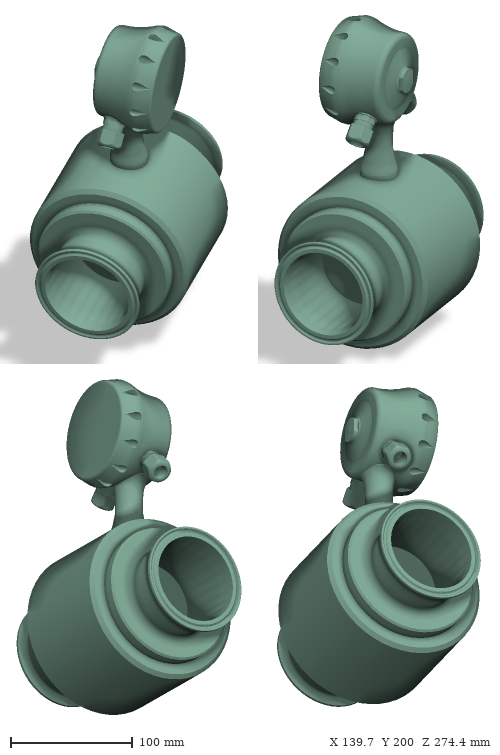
import cadquery as cq
import math

body_diameter = 139.7
body_length = 100.0
body_chamfer = 3.3
shoulder_diameter = 115.0
shoulder_length = 123.8
shoulder_chamfer = 1.6

total_length = 200.0
tube_diameter = 76.5
tube_fillet = 4.5
flange_diameter = 91.0
flange_rim = 2.7
flange_edge_fillet = 0.5
flange_back_angle = 20.0
flange_back_fillet = 2.2
groove_outer_diameter = 88.0
groove_inner_diameter = 80.1
groove_lip = 0.69
groove_depth = 1.6

bore_mouth_diameter = 73.5
bore_end_diameter = 70.8
bore_depth = 66.0

neck_foot_radius = 15.6
neck_foot_top = 73.5
neck_collar_radius = 15.0
neck_collar_top = 76.0
neck_cone_radius = 13.7
neck_cone_top = 81.0
neck_waist_radius = 11.5
neck_waist_bottom = 96.5
neck_waist_top = 100.7
neck_flare_radius = 11.8
neck_flare_bottom = 109.0
neck_top_radius = 17.0
neck_top = 122.5

total_height = 274.5
housing_back = -18.7
housing_radius = 38.7
housing_fillet = 4.7
cone_base_radius = 26.0
cone_top = -21.0
cone_top_radius = 15.6
boss_radius = 11.8
boss_top = -22.2

lid_start = 15.6
lid_start_radius = 45.0
lid_rim_start = 19.2
lid_rim_end = 21.5
lid_radius = 45.8
lid_front = 34.9
lid_front_radius = 42.8
lid_fillet = 2.7

scallop_count = 12
scallop_start = 17.3
scallop_wide = 20.3
scallop_radius = 3.5
scallop_waist = 26.4
scallop_waist_radius = 2.2
scallop_tip_radius = 0.5
scallop_lift = 0.4
scallop_tilt = 8.5

plug_radius = 10.5
plug_base = -23.3
plug_end = -27.0
plug_tip = -27.7
plug_flats = 17.5

gland_x = -2.0
gland_angle = 45.0
gland_boss_radius = 10.0
gland_boss_end = 39.5
gland_hexagon_flats = 17.3
gland_hexagon_diameter = 18.0
gland_hexagon_end = 44.5
gland_stem_diameter = 16.7
gland_nut_start = 49.0
gland_nut_end = 63.0
gland_nut_flats = 19.5
gland_nut_diameter = 21.7
gland_nut_fillet = 4.5
gland_hole_diameter = 12.0
gland_hole_depth = 13.7

half_length = total_length / 2
housing_height = total_height - body_diameter / 2 - lid_radius
diagonal = math.sqrt(0.5)


def make_drum(diameter, length, chamfer):
    """Chamfered cylinder about the Y axis, centred on the origin."""
    drum = cq.Workplane("XZ").circle(diameter / 2).extrude(length).translate((0, length / 2, 0))
    return drum.faces("<Y or >Y").chamfer(chamfer)


def make_pipe_end():
    """Pipe from the middle of the body to the +Y clamp flange, without its bore."""
    tube_radius = tube_diameter / 2
    flange_radius = flange_diameter / 2
    fillet_start = shoulder_length / 2
    fillet_end = fillet_start + tube_fillet
    slope = math.radians(flange_back_angle)
    back_arc_radius = tube_radius + flange_back_fillet * (1 - math.sin(slope))
    rim_back = half_length - flange_rim
    back_arc_end = rim_back - (flange_radius - back_arc_radius) * math.tan(slope)
    back_arc_start = back_arc_end - flange_back_fillet * math.cos(slope)
    pipe = (
        cq.Workplane("XY")
        .lineTo(tube_radius + tube_fillet, 0)
        .lineTo(tube_radius + tube_fillet, fillet_start)
        .threePointArc(
            (tube_radius + tube_fillet * (1 - diagonal), fillet_end - tube_fillet * diagonal),
            (tube_radius, fillet_end),
        )
        .lineTo(tube_radius, back_arc_start)
        .tangentArcPoint((back_arc_radius, back_arc_end), relative=False)
        .lineTo(flange_radius, rim_back)
        .lineTo(flange_radius, half_length)
        .lineTo(0, half_length)
        .close()
        .revolve(360, (0, 0), (0, 1))
    )
    rim_edges = cq.selectors.RadiusNthSelector(-1)
    return pipe.edges(rim_edges).fillet(flange_edge_fillet).cut(make_gasket_groove())


def make_gasket_groove():
    """Ring cutter for the rounded gasket groove in the +Y flange face."""
    outer = groove_outer_diameter / 2
    inner = groove_inner_diameter / 2
    return (
        cq.Workplane("XY")
        .moveTo(outer, half_length)
        .lineTo(outer - groove_lip, half_length - groove_lip)
        .threePointArc(
            ((outer + inner) / 2, half_length - groove_depth),
            (inner + groove_lip, half_length - groove_lip),
        )
        .lineTo(inner, half_length)
        .close()
        .revolve(360, (0, 0), (0, 1))
    )


def make_bore():
    """Tapered cutter for the blind bore in the +Y end."""
    bore_end = half_length - bore_depth
    return (
        cq.Workplane("XY")
        .moveTo(0, half_length)
        .lineTo(bore_mouth_diameter / 2, half_length)
        .lineTo(bore_end_diameter / 2, bore_end)
        .lineTo(0, bore_end)
        .close()
        .revolve(360, (0, 0), (0, 1))
    )


def make_neck():
    """Neck from inside the body to inside the housing."""
    collar_slope = (neck_cone_radius - neck_collar_radius, neck_cone_top - neck_collar_top)
    flare_slope = (neck_flare_radius - neck_waist_radius, neck_flare_bottom - neck_waist_top)
    return (
        cq.Workplane("XZ")
        .lineTo(neck_foot_radius, 0)
        .lineTo(neck_foot_radius, neck_foot_top)
        .lineTo(neck_collar_radius, neck_collar_top)
        .lineTo(neck_cone_radius, neck_cone_top)
        .spline(
            [(neck_waist_radius, neck_waist_bottom)],
            tangents=[collar_slope, (0, 1)],
            includeCurrent=True,
        )
        .lineTo(neck_waist_radius, neck_waist_top)
        .lineTo(neck_flare_radius, neck_flare_bottom)
        .spline(
            [(neck_top_radius, neck_top)],
            tangents=[flare_slope, (1, 1)],
            includeCurrent=True,
        )
        .lineTo(neck_top_radius, housing_height)
        .lineTo(0, housing_height)
        .close()
        .revolve(360, (0, 0), (0, 1))
    )


def turned_on_housing_axis(outline):
    """Turn an XZ outline, drawn as (x, radius), about the X axis and lift it to the housing."""
    return outline.close().revolve(360, (0, 0), (1, 0)).translate((0, 0, housing_height))


def make_housing():
    """Housing with its closed lid."""
    housing_corner = housing_fillet * (1 - diagonal)
    lid_corner = lid_fillet * (1 - diagonal)
    outline = (
        cq.Workplane("XZ")
        .moveTo(plug_base, 0)
        .lineTo(plug_base, plug_radius)
        .lineTo(boss_top, boss_radius)
        .lineTo(cone_top, cone_top_radius)
        .lineTo(housing_back, cone_base_radius)
        .lineTo(housing_back, housing_radius - housing_fillet)
        .threePointArc(
            (housing_back + housing_corner, housing_radius - housing_corner),
            (housing_back + housing_fillet, housing_radius),
        )
        .tangentArcPoint((lid_start, lid_start_radius), relative=False)
        .lineTo(lid_rim_start, lid_radius)
        .lineTo(lid_rim_end, lid_radius)
        .lineTo(lid_front - lid_fillet, lid_front_radius)
        .threePointArc(
            (lid_front - lid_corner, lid_front_radius - lid_corner),
            (lid_front, lid_front_radius - lid_fillet),
        )
        .lineTo(lid_front, 0)
    )
    return turned_on_housing_axis(outline)


def make_scallop():
    """Teardrop cutter at the top of the lid, sloping down to its point at the front."""
    tip_x = lid_front - lid_fillet
    length = tip_x - scallop_start
    teardrop = (
        cq.Workplane("XZ")
        .moveTo(-length, 0)
        .spline(
            [
                (scallop_wide - tip_x, scallop_radius),
                (scallop_waist - tip_x, scallop_waist_radius),
                (0, scallop_tip_radius),
            ],
            tangents=[(0, 1), None, None, None],
            includeCurrent=True,
        )
        .lineTo(0, 0)
        .close()
        .revolve(360, (0, 0), (1, 0))
        .rotate((0, 0, 0), (0, 1, 0), scallop_tilt)
    )
    return teardrop.translate((tip_x, 0, housing_height + lid_front_radius + scallop_lift))


def make_plug():
    """Round plug with a slightly raised face and a flat on each side."""
    plug = turned_on_housing_axis(
        cq.Workplane("XZ")
        .moveTo(plug_tip, 0)
        .lineTo(plug_end, plug_radius)
        .lineTo(plug_base, plug_radius)
        .lineTo(plug_base, 0)
    )
    between_flats = cq.Workplane("XY").box(2 * abs(plug_tip), plug_flats, 4 * plug_radius)
    return plug.intersect(between_flats.translate((plug_base, 0, housing_height)))


def make_rod(radius, length):
    """Cylinder standing on the origin along +Z."""
    return cq.Workplane("XY").circle(radius).extrude(length)


def make_hexagon(flats, rod):
    """Hexagon across flats with corners on +X and -X, its corners rounded off to fit the rod."""
    corner_diameter = flats / math.cos(math.pi / 6)
    prism = cq.Workplane("XY").polygon(6, corner_diameter).extrude(rod.val().BoundingBox().zmax)
    return prism.intersect(rod)


def make_gland():
    """Cable gland along +Z from the origin: boss, hexagon, stem, nut and cable hole."""
    hexagon = make_hexagon(gland_hexagon_flats, make_rod(gland_hexagon_diameter / 2, gland_hexagon_end))
    nut_rod = make_rod(gland_nut_diameter / 2, gland_nut_end - gland_nut_start)
    nut = make_hexagon(gland_nut_flats, nut_rod.faces(">Z").edges().fillet(gland_nut_fillet))
    hole = make_rod(gland_hole_diameter / 2, gland_hole_depth)
    return (
        make_rod(gland_boss_radius, gland_boss_end)
        .union(hexagon)
        .union(make_rod(gland_stem_diameter / 2, gland_nut_start))
        .union(nut.translate((0, 0, gland_nut_start)))
        .cut(hole.translate((0, 0, gland_nut_end - gland_hole_depth)))
    )


def place_gland(gland, side):
    """Tip a gland to point down and towards +Y (side 1) or -Y (side -1)."""
    tipped = gland.rotate((0, 0, 0), (1, 0, 0), -side * (90 + gland_angle))
    return tipped.translate((gland_x, 0, housing_height))


result = make_drum(body_diameter, body_length, body_chamfer)
result = result.union(make_drum(shoulder_diameter, shoulder_length, shoulder_chamfer))
pipe_end = make_pipe_end()
bore = make_bore()
for end, end_bore in ((pipe_end, bore), (pipe_end.mirror("XZ"), bore.mirror("XZ"))):
    result = result.union(end).cut(end_bore)

result = result.union(make_neck()).union(make_housing())
gland = make_gland()
for side in (-1, 1):
    result = result.union(place_gland(gland, side))

scallop = make_scallop()
for i in range(scallop_count):
    turn = i * 360 / scallop_count
    result = result.cut(scallop.rotate((0, 0, housing_height), (1, 0, housing_height), turn))

result = result.union(make_plug())